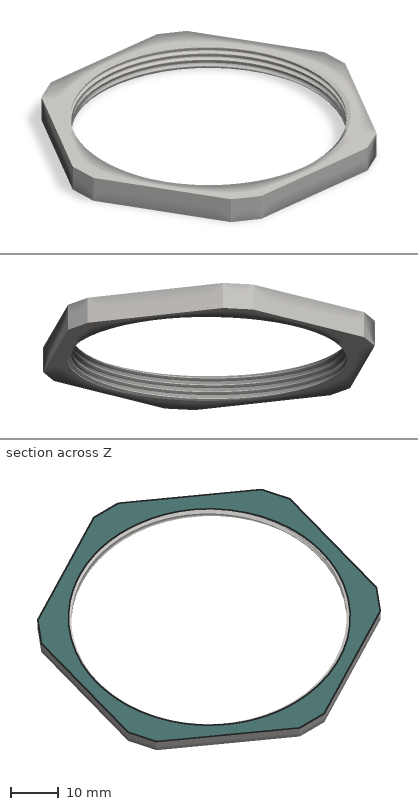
import cadquery as cq
import math

across_flats = 65.0
across_corners = 71.4
thickness = 5.5

minor_radius = 28.8
major_radius = 29.55
pitch = 1.5
flank_angle = 26
root_flat = pitch * 3 / 8
inner_overlap = 0.1


def hexagon_prism(flat_distance):
    """Hexagonal prism with a pair of flats facing +X and -X."""
    corner_diameter = flat_distance / math.cos(math.radians(30))
    return (
        cq.Workplane("XY")
        .transformed(rotate=(0, 0, 30))
        .polygon(6, corner_diameter)
        .extrude(thickness)
    )


def corner_trim():
    """Prism whose flats cut the six corners of the nut."""
    return hexagon_prism(across_corners).rotate((0, 0, 0), (0, 0, 1), 30)


def thread_groove():
    """Helical trapezoidal groove whose root meets the top face on the +X side."""
    turns = math.ceil(thickness / pitch) + 2
    start_z = thickness - (turns - 1) * pitch
    inner_radius = minor_radius - inner_overlap
    root_half = root_flat / 2
    flank_rise = (major_radius - inner_radius) * math.tan(math.radians(flank_angle))
    mouth_half = root_half + flank_rise
    helix = cq.Wire.makeHelix(pitch, turns * pitch, minor_radius)
    profile = cq.Workplane("XZ").polyline([
        (inner_radius, -mouth_half),
        (major_radius, -root_half),
        (major_radius, root_half),
        (inner_radius, mouth_half),
    ]).close()
    groove = profile.sweep(cq.Workplane(obj=helix), isFrenet=True)
    return groove.translate((0, 0, start_z))


blank = hexagon_prism(across_flats).intersect(corner_trim())
bore = cq.Workplane("XY").circle(minor_radius).extrude(thickness)
result = blank.cut(thread_groove()).cut(bore)